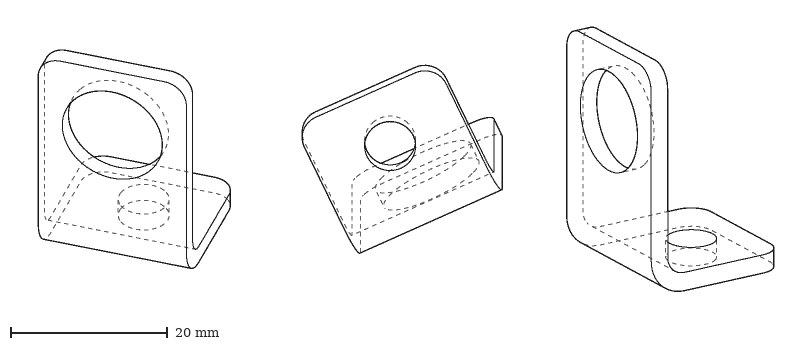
import cadquery as cq

width = 20.0
depth = 20.0
height = 31.0
thickness = 2.5

bend_inner_radius = 2.5
bend_outer_radius = bend_inner_radius + thickness

corner_radius = 3.0

large_hole_diameter = 13.5
large_hole_below_top = width / 2
small_hole_diameter = 6.5
small_hole_from_back = 7.5


def bent_sheet():
    """L-shaped sheet: upright plate at y = 0, base at z = 0, centred on x = 0."""
    outline = (
        cq.Workplane("YZ")
        .moveTo(0, height)
        .lineTo(thickness, height)
        .lineTo(thickness, thickness)
        .lineTo(depth, thickness)
        .lineTo(depth, 0)
        .lineTo(0, 0)
        .close()
    )
    sheet = outline.extrude(width / 2, both=True)
    inner_edge = cq.selectors.NearestToPointSelector((0, thickness, thickness))
    outer_edge = cq.selectors.NearestToPointSelector((0, 0, 0))
    sheet = sheet.edges(inner_edge).fillet(bend_inner_radius)
    return sheet.edges(outer_edge).fillet(bend_outer_radius)


def round_free_corners(sheet):
    """Round the two top corners and the two back corners."""
    sheet = sheet.faces(">Z").edges("|Y").fillet(corner_radius)
    return sheet.faces(">Y").edges("|Z").fillet(corner_radius)


def large_hole_cutter():
    """Cylinder through the upright plate."""
    return (
        cq.Workplane("XZ")
        .center(0, height - large_hole_below_top)
        .circle(large_hole_diameter / 2)
        .extrude(-thickness)
    )


def small_hole_cutter():
    """Cylinder through the base."""
    return (
        cq.Workplane("XY")
        .center(0, depth - small_hole_from_back)
        .circle(small_hole_diameter / 2)
        .extrude(thickness)
    )


bracket = round_free_corners(bent_sheet())
result = bracket.cut(large_hole_cutter()).cut(small_hole_cutter())